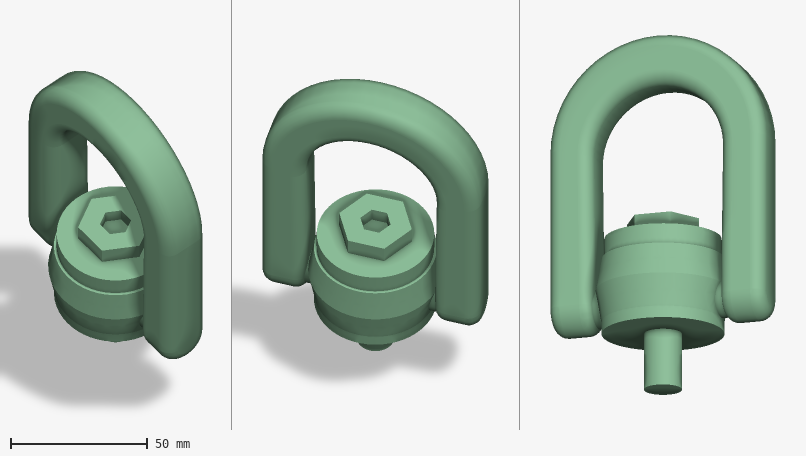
import cadquery as cq
import math

total_height = 133.0
hub_bottom = 21.1
belt_bottom = 25.5
belt_top = 49.5
collar_top = 57.0
head_top = 63.8
stem_diameter = 14.0
rim_diameter = 45.0
belt_diameter = 49.2
collar_diameter = 43.0
head_across_flats = 24.0
socket_across_flats = 10.0
socket_depth = 5.5

bow_width = 83.0
bow_depth = 19.0
bow_edge_radius = 4.8
crown_thickness = 18.9
opening_width = 50.0
opening_foot_width = 48.7
taper_end = 37.9
trunnion_diameter = 14.2
trunnion_height = 32.5
trunnion_tip = 16.0

belt_middle = (belt_bottom + belt_top) / 2
leg_end_radius = bow_depth / 2
leg_bottom = trunnion_height - leg_end_radius
outer_radius = bow_width / 2
outer_arc_center = total_height - outer_radius
inner_radius = opening_width / 2
inner_arc_top = total_height - crown_thickness
inner_arc_center = inner_arc_top - inner_radius
foot_x = opening_foot_width / 2
SIDES = (-1, 1)


def across_corners(across_flats):
    return across_flats / math.cos(math.pi / 6)


def trunnion(side):
    """Pin along X from inside a leg to the trunnion tip inside the hub."""
    root_x = (outer_radius + foot_x) / 2
    return (
        cq.Workplane("YZ", origin=(side * trunnion_tip, 0, trunnion_height))
        .circle(trunnion_diameter / 2)
        .extrude(side * (root_x - trunnion_tip))
    )


def make_bow():
    arch = (
        cq.Workplane("XZ")
        .moveTo(-outer_radius, leg_bottom)
        .lineTo(-outer_radius, outer_arc_center)
        .threePointArc((0, total_height), (outer_radius, outer_arc_center))
        .lineTo(outer_radius, leg_bottom)
        .lineTo(foot_x, leg_bottom)
        .lineTo(foot_x, taper_end)
        .lineTo(inner_radius, inner_arc_center)
        .threePointArc((0, inner_arc_top), (-inner_radius, inner_arc_center))
        .lineTo(-foot_x, taper_end)
        .lineTo(-foot_x, leg_bottom)
        .close()
        .extrude(bow_depth / 2, both=True)
    )
    side_outline = (
        cq.Workplane("YZ")
        .moveTo(-leg_end_radius, total_height)
        .lineTo(-leg_end_radius, trunnion_height)
        .threePointArc((0, leg_bottom), (leg_end_radius, trunnion_height))
        .lineTo(leg_end_radius, total_height)
        .close()
        .extrude(bow_width, both=True)
    )
    bow = arch.intersect(side_outline)
    bow = bow.edges("not (|X or |Y)").fillet(bow_edge_radius)
    for side in SIDES:
        bow = bow.union(trunnion(side))
    return bow


def make_hub():
    rim_radius = rim_diameter / 2
    profile = (
        cq.Workplane("XZ")
        .lineTo(stem_diameter / 2, 0)
        .lineTo(stem_diameter / 2, hub_bottom)
        .lineTo(rim_radius, hub_bottom)
        .lineTo(rim_radius, belt_bottom)
        .lineTo(belt_diameter / 2, belt_middle)
        .lineTo(rim_radius, belt_top)
        .lineTo(collar_diameter / 2, belt_top)
        .lineTo(collar_diameter / 2, collar_top)
        .lineTo(0, collar_top)
        .close()
    )
    hub = profile.revolve(360, (0, 0, 0), (0, 1, 0))
    head = (
        cq.Workplane("XY", origin=(0, 0, collar_top))
        .polygon(6, across_corners(head_across_flats))
        .extrude(head_top - collar_top)
    )
    socket = (
        cq.Workplane("XY", origin=(0, 0, head_top))
        .polygon(6, across_corners(socket_across_flats))
        .extrude(-socket_depth)
    )
    hub = hub.union(head).cut(socket)
    for side in SIDES:
        hub = hub.cut(trunnion(side))
    return hub


bow = make_bow()
hub = make_hub()
result = cq.Compound.makeCompound([bow.val(), hub.val()])